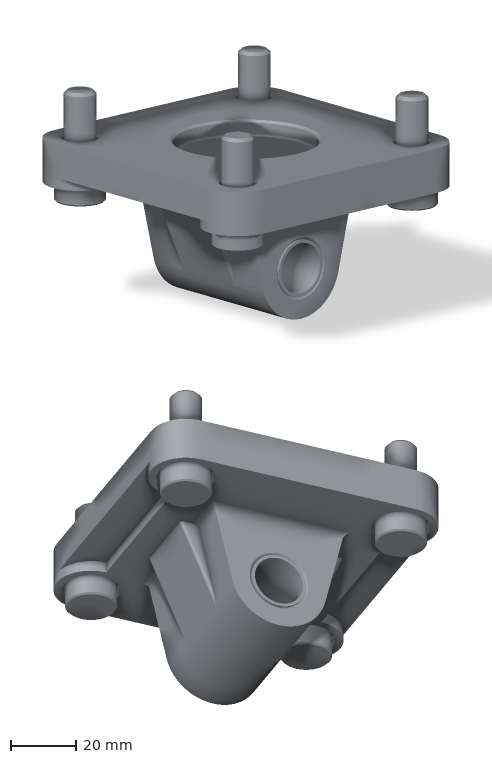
import cadquery as cq
import math

PLATE_SIZE = 95.0
PLATE_THICKNESS = 14.0
SCREW_PITCH = 72.0
CORNER_RADIUS = (PLATE_SIZE - SCREW_PITCH) / 2
RECESS_CEILING_Z = -10.5

BORE_DIAMETER = 45.0
BORE_DEPTH = 5.0
BORE_RIM_CHAMFER = 0.75
BORE_FLOOR_FILLET = 0.8

SCREW_DIAMETER = 10.0
SCREW_TIP_Z = 15.0
SCREW_TIP_CHAMFER = 1.0
HEAD_DIAMETER = 16.0
HEAD_HEIGHT = SCREW_DIAMETER
HEAD_SEAT_Z = -10.0
HEAD_CHAMFER = 0.5
CLEARANCE_DIAMETER = 11.0
CLEARANCE_CHAMFER = 0.5
COUNTERBORE_DIAMETER = 18.0

EYE_WIDTH = 50.0
EYE_RADIUS = 16.0
EYE_CENTRE_Z = -36.0
EYE_FLANK_ANGLE = 13.5
EYE_FOOT_FILLET = 2.0
RIB_WIDTH = 24.5
RIB_FLANK_ANGLE = 24.0
RIB_FLANK_OFFSET = 15.96
RIB_EDGE_FILLET = 1.0

BUSH_OUTER_DIAMETER = 18.0
BUSH_INNER_DIAMETER = 16.0
BUSH_LENGTH = EYE_WIDTH / 2
EYE_BORE_CHAMFER = 0.75

CUT_MARGIN = 1.0
screw_points = [
    (x * SCREW_PITCH / 2, y * SCREW_PITCH / 2) for x in (-1, 1) for y in (-1, 1)
]


def make_eye():
    """Prism along X: an arc around the pivot with tangent flanks rising to the plate underside."""
    angle = math.radians(EYE_FLANK_ANGLE)
    tangent_y = EYE_RADIUS * math.cos(angle)
    tangent_z = EYE_CENTRE_Z - EYE_RADIUS * math.sin(angle)
    top_y = tangent_y + (-PLATE_THICKNESS - tangent_z) * math.tan(angle)
    return (
        cq.Workplane("YZ")
        .moveTo(-top_y, -PLATE_THICKNESS)
        .lineTo(-tangent_y, tangent_z)
        .threePointArc((0, EYE_CENTRE_Z - EYE_RADIUS), (tangent_y, tangent_z))
        .lineTo(top_y, -PLATE_THICKNESS)
        .close()
        .extrude(EYE_WIDTH / 2, both=True)
    )


def make_plate():
    """Rounded square plate whose lower layer is set back between the corners on the Y sides."""
    upper = (
        cq.Workplane("XY")
        .rect(PLATE_SIZE, PLATE_SIZE)
        .extrude(RECESS_CEILING_Z)
        .edges("|Z")
        .fillet(CORNER_RADIUS)
    )
    return upper.union(make_lower_layer())


def make_lower_layer():
    """Layer below the recess ceiling, ending on each Y side in two round bosses about the screws."""
    side_x = PLATE_SIZE / 2
    edge_y = PLATE_SIZE / 2
    boss_x = SCREW_PITCH / 2
    wall_y = SCREW_PITCH / 2
    wall_x = boss_x - CORNER_RADIUS
    return (
        cq.Workplane("XY", origin=(0, 0, -PLATE_THICKNESS))
        .moveTo(-side_x, -wall_y)
        .threePointArc((-boss_x, -edge_y), (-wall_x, -wall_y))
        .lineTo(wall_x, -wall_y)
        .threePointArc((boss_x, -edge_y), (side_x, -wall_y))
        .lineTo(side_x, wall_y)
        .threePointArc((boss_x, edge_y), (wall_x, wall_y))
        .lineTo(-wall_x, wall_y)
        .threePointArc((-boss_x, edge_y), (-side_x, wall_y))
        .close()
        .extrude(PLATE_THICKNESS + RECESS_CEILING_Z)
    )


def make_rib():
    """Central rib whose flanks run down into the round of the eye, long sloping edges rounded."""
    angle = math.radians(RIB_FLANK_ANGLE)
    foot_y = RIB_FLANK_OFFSET * math.cos(angle)
    foot_z = EYE_CENTRE_Z - RIB_FLANK_OFFSET * math.sin(angle)
    top_y = foot_y + (-PLATE_THICKNESS - foot_z) * math.tan(angle)
    rib = (
        cq.Workplane("YZ")
        .polyline(
            [
                (-top_y, -PLATE_THICKNESS),
                (-foot_y, foot_z),
                (foot_y, foot_z),
                (top_y, -PLATE_THICKNESS),
            ]
        )
        .close()
        .extrude(RIB_WIDTH / 2, both=True)
    )
    return rib.faces("|X").edges("not |Y").fillet(RIB_EDGE_FILLET)


def make_centring_bore():
    """Blind bore with a chamfered rim and a rounded floor edge."""
    bore = (
        cq.Workplane("XY")
        .circle(BORE_DIAMETER / 2)
        .extrude(-BORE_DEPTH)
        .faces("<Z")
        .edges()
        .fillet(BORE_FLOOR_FILLET)
    )
    return bore.union(rim_cone(BORE_DIAMETER, BORE_RIM_CHAMFER))


def rim_cone(diameter, chamfer):
    """Chamfer cutter for a hole of the given diameter opening upward at Z = 0."""
    return (
        cq.Workplane("XY")
        .circle(diameter / 2 + chamfer)
        .extrude(-chamfer, taper=45)
    )


def make_screw_hole():
    """Clearance hole with a chamfered top and a counterbore open at the underside."""
    through = cq.Workplane("XY").circle(CLEARANCE_DIAMETER / 2).extrude(-PLATE_THICKNESS)
    counterbore = (
        cq.Workplane("XY", origin=(0, 0, HEAD_SEAT_Z))
        .circle(COUNTERBORE_DIAMETER / 2)
        .extrude(-PLATE_THICKNESS - HEAD_SEAT_Z - CUT_MARGIN)
    )
    return through.union(counterbore).union(rim_cone(CLEARANCE_DIAMETER, CLEARANCE_CHAMFER))


def make_eye_bore():
    """Bore along X with a chamfer at both ends."""
    bore_radius = BUSH_OUTER_DIAMETER / 2
    half_width = EYE_WIDTH / 2
    return (
        cq.Workplane("XY")
        .moveTo(-half_width, 0)
        .lineTo(-half_width, bore_radius + EYE_BORE_CHAMFER)
        .lineTo(-half_width + EYE_BORE_CHAMFER, bore_radius)
        .lineTo(half_width - EYE_BORE_CHAMFER, bore_radius)
        .lineTo(half_width, bore_radius + EYE_BORE_CHAMFER)
        .lineTo(half_width, 0)
        .close()
        .revolve(360, (0, 0, 0), (1, 0, 0))
        .translate((0, 0, EYE_CENTRE_Z))
    )


def make_flange():
    """Plate, eye and ribs in one piece, with all their bores."""
    flange = make_plate().union(make_eye())
    foot_reach = SCREW_PITCH / 2 - CUT_MARGIN
    foot_zone = cq.selectors.BoxSelector(
        (-foot_reach, -foot_reach, -PLATE_THICKNESS - CUT_MARGIN),
        (foot_reach, foot_reach, -PLATE_THICKNESS + CUT_MARGIN),
    )
    flange = flange.edges(foot_zone).fillet(EYE_FOOT_FILLET)
    flange = flange.union(make_rib())
    flange = flange.cut(make_centring_bore()).cut(make_eye_bore())
    screw_hole = make_screw_hole()
    for x, y in screw_points:
        flange = flange.cut(screw_hole.translate((x, y, 0)))
    return flange


def make_screw(x, y):
    """Cap screw pointing up, its head seated in the counterbore."""
    shank = (
        cq.Workplane("XY", origin=(x, y, HEAD_SEAT_Z))
        .circle(SCREW_DIAMETER / 2)
        .extrude(SCREW_TIP_Z - HEAD_SEAT_Z)
        .faces(">Z")
        .chamfer(SCREW_TIP_CHAMFER)
    )
    head = (
        cq.Workplane("XY", origin=(x, y, HEAD_SEAT_Z))
        .circle(HEAD_DIAMETER / 2)
        .extrude(-HEAD_HEIGHT)
        .faces("<Z")
        .chamfer(HEAD_CHAMFER)
    )
    return head.union(shank)


def make_bush(start_x):
    """Plain sleeve running in +X from start_x."""
    return (
        cq.Workplane("YZ", origin=(start_x, 0, EYE_CENTRE_Z))
        .circle(BUSH_OUTER_DIAMETER / 2)
        .circle(BUSH_INNER_DIAMETER / 2)
        .extrude(BUSH_LENGTH)
    )


flange = make_flange()
screws = [make_screw(x, y) for x, y in screw_points]
bushes = [make_bush(start_x) for start_x in (-EYE_WIDTH / 2, EYE_WIDTH / 2 - BUSH_LENGTH)]

result = cq.Compound.makeCompound(
    [flange.val(), *[screw.val() for screw in screws], *[bush.val() for bush in bushes]]
)